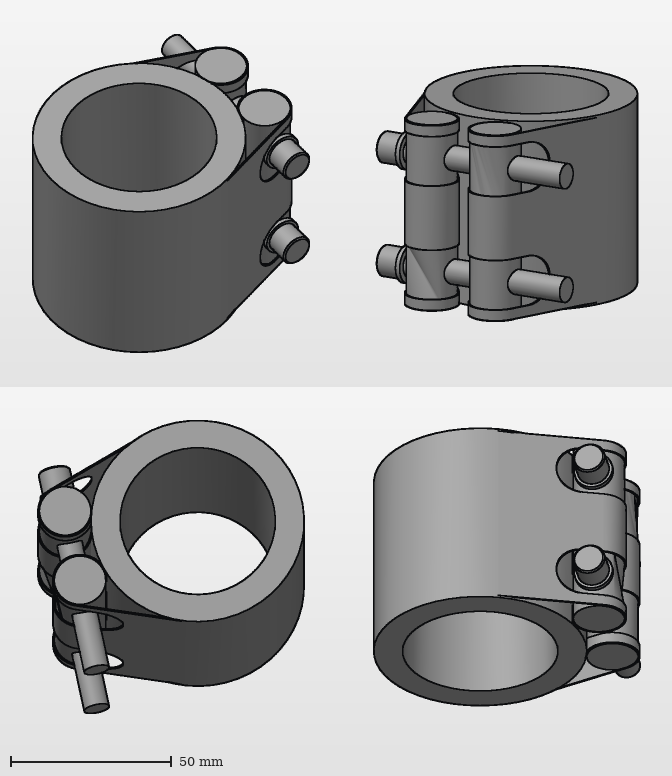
import cadquery as cq
import math

sleeve_height = 61.0
sleeve_radius = 66.3 / 2
bore_diameter = 48.3

pin_radius = 16.0 / 2
pin_height = 60.0
pin_x = 11.6
strap_thickness = 0.5
strap_height = 59.5
wrap_radius = pin_radius + strap_thickness
overall_max_y = 81.3 - sleeve_radius
pin_y = overall_max_y - wrap_radius

slot_radius = 8.0
slot_center_y = 36.6

bolt_z = 18.3
bolt_diameter = 8.0
bolt_start_x = sleeve_radius - 70.75
washer_start_x = 19.7
washer_thickness = 1.55
washer_diameter = 12.0
head_end_x = 29.1
head_diameter = 10.0
head_chamfer = 0.5


def polar(center, radius, angle):
    """Point on a circle around center, with the angle in radians."""
    return (center[0] + radius * math.cos(angle), center[1] + radius * math.sin(angle))


def upright(height):
    """Workplane at the bottom of a body centred on Z = 0."""
    return cq.Workplane("XY").workplane(offset=-height / 2)


def make_sleeve():
    return upright(sleeve_height).circle(sleeve_radius).extrude(sleeve_height)


def make_left_strap():
    """Strap from its tangent line on the sleeve, over the left pin, to the pin's underside."""
    sleeve_center = (0, 0)
    pin_center = (-pin_x, pin_y)
    center_distance = math.hypot(pin_x, pin_y)
    center_direction = math.atan2(pin_y, -pin_x)
    tangent = center_direction + math.acos((sleeve_radius - wrap_radius) / center_distance)
    wrap_end = math.radians(-90)
    wrap_middle = (tangent + wrap_end) / 2
    inner_sleeve_radius = sleeve_radius - strap_thickness

    strap = (
        upright(strap_height)
        .moveTo(*polar(sleeve_center, sleeve_radius, tangent))
        .lineTo(*polar(pin_center, wrap_radius, tangent))
        .threePointArc(
            polar(pin_center, wrap_radius, wrap_middle),
            polar(pin_center, wrap_radius, wrap_end),
        )
        .lineTo(*polar(pin_center, pin_radius, wrap_end))
        .threePointArc(
            polar(pin_center, pin_radius, wrap_middle),
            polar(pin_center, pin_radius, tangent),
        )
        .lineTo(*polar(sleeve_center, inner_sleeve_radius, tangent))
        .close()
        .extrude(strap_height)
    )
    for z in (-bolt_z, bolt_z):
        strap = strap.cut(make_slot(z))
    return strap


def make_slot(z):
    """Cutter along X with a round lower end, open past the top of the wrap."""
    length = 2 * sleeve_radius
    slot_depth = overall_max_y - slot_center_y
    plane = cq.Workplane("YZ").workplane(offset=-length)
    round_end = plane.center(slot_center_y, z).circle(slot_radius).extrude(length)
    open_end = (
        plane.center(slot_center_y + slot_depth / 2, z)
        .rect(slot_depth, 2 * slot_radius)
        .extrude(length)
    )
    return round_end.union(open_end)


def make_left_pin():
    return upright(pin_height).center(-pin_x, pin_y).circle(pin_radius).extrude(pin_height)


def bolt_cylinder(start_x, end_x, diameter, z):
    return (
        cq.Workplane("YZ")
        .workplane(offset=start_x)
        .center(pin_y, z)
        .circle(diameter / 2)
        .extrude(end_x - start_x)
    )


def make_bolt(z):
    washer_end_x = washer_start_x + washer_thickness
    shank = bolt_cylinder(bolt_start_x, washer_end_x, bolt_diameter, z)
    washer = bolt_cylinder(washer_start_x, washer_end_x, washer_diameter, z)
    head = bolt_cylinder(washer_end_x, head_end_x, head_diameter, z)
    head = head.faces(">X").edges().chamfer(head_chamfer)
    return shank.union(washer).union(head)


result = make_sleeve()
for left_body in (make_left_pin(), make_left_strap()):
    result = result.union(left_body).union(left_body.mirror("YZ"))
for bolt_height in (-bolt_z, bolt_z):
    result = result.union(make_bolt(bolt_height))

bore = upright(sleeve_height).circle(bore_diameter / 2).extrude(sleeve_height)
result = result.cut(bore)